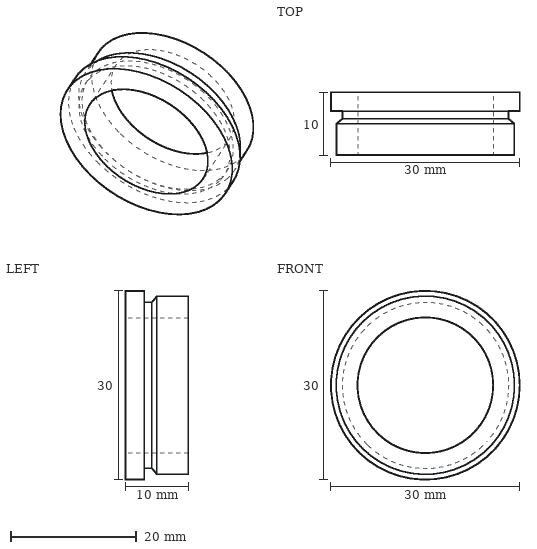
import cadquery as cq

bore_diameter = 21.5
groove_diameter = 26.4
body_diameter = 28.3
flange_diameter = 30.0

total_length = 10.0
flange_length = 3.0
groove_length = 1.2
taper_length = 0.8

front_y = 0.0
back_y = front_y + total_length
flange_y = back_y - flange_length
taper_end_y = flange_y - groove_length
taper_start_y = taper_end_y - taper_length

bore_radius = bore_diameter / 2
groove_radius = groove_diameter / 2
body_radius = body_diameter / 2
flange_radius = flange_diameter / 2


def make_ring():
    """Revolve the flanged, grooved half section around the Y axis."""
    half_section = (
        cq.Workplane("XY")
        .moveTo(bore_radius, front_y)
        .lineTo(body_radius, front_y)
        .lineTo(body_radius, taper_start_y)
        .lineTo(groove_radius, taper_end_y)
        .lineTo(groove_radius, flange_y)
        .lineTo(flange_radius, flange_y)
        .lineTo(flange_radius, back_y)
        .lineTo(bore_radius, back_y)
        .close()
    )
    return half_section.revolve(360, (0, 0, 0), (0, 1, 0))


result = make_ring()